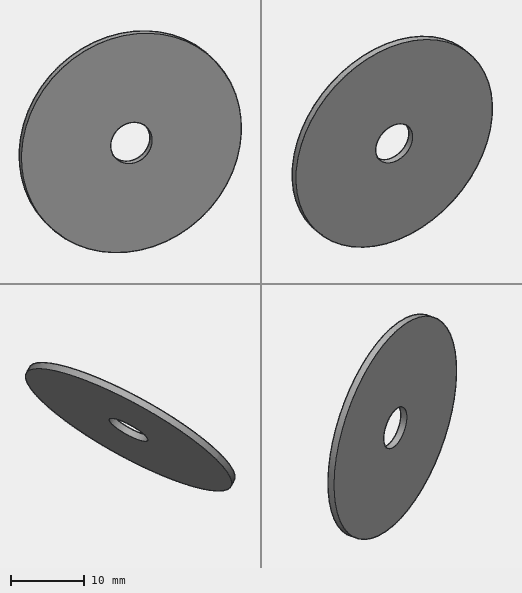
import cadquery as cq
import math

OUTER_DIAMETER = 32.0
HOLE_DIAMETER = 6.0
THICKNESS = 1.0
LEAN_ALONG_Y = 1.43
LEAN_ALONG_Z = -0.55
SEAM_ANGLE = 32.0


def disc_plane():
    """Mid-thickness plane of the tilted disc, with its local X axis along the seam line."""
    slope_y = math.tan(math.radians(LEAN_ALONG_Y))
    slope_z = math.tan(math.radians(LEAN_ALONG_Z))
    seam_y = math.cos(math.radians(SEAM_ANGLE))
    seam_z = math.sin(math.radians(SEAM_ANGLE))
    seam_x = slope_y * seam_y + slope_z * seam_z
    return cq.Plane(
        origin=(0, 0, 0),
        xDir=(seam_x, seam_y, seam_z),
        normal=(1, -slope_y, -slope_z),
    )


def split_circle(face, diameter):
    """Add a circle made of two half arcs that meet on the local X axis."""
    radius = diameter / 2
    return (
        face.moveTo(radius, 0)
        .threePointArc((0, radius), (-radius, 0))
        .threePointArc((0, -radius), (radius, 0))
        .close()
    )


def make_washer():
    """Flat washer with a concentric through hole, centred on the origin."""
    back_face = cq.Workplane(disc_plane()).workplane(offset=-THICKNESS / 2)
    rim = split_circle(back_face, OUTER_DIAMETER)
    ring = split_circle(rim, HOLE_DIAMETER)
    return ring.extrude(THICKNESS, clean=False)


result = make_washer()